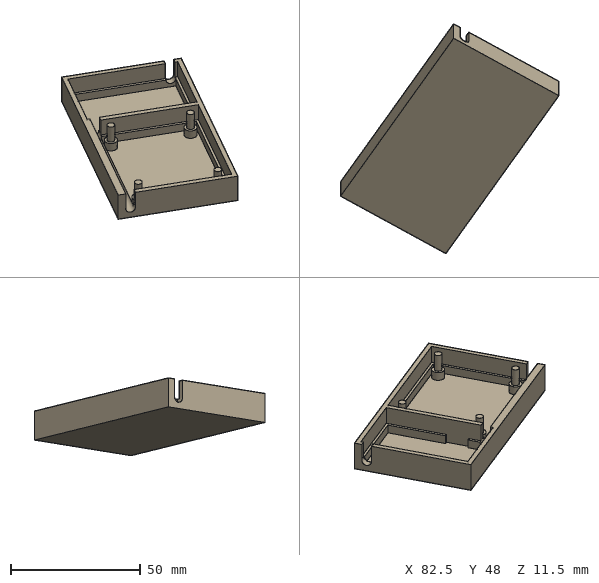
import cadquery as cq

length = 82.5
width = 48.0
height = 11.5
wall = 2.0
floor = 1.0

divider_start = 30.0
divider_end = divider_start + wall
ledge_width = 1.1
ledge_top = 4.45
inset = wall + ledge_width
ledge_gap_start = 12.0
ledge_gap_end = 21.1

channel_width = 3.9
channel_radius = channel_width / 2
channel_axis_z = ledge_top

bank_edge = 6.8

post_diameter = 5.0
pin_diameter = 3.0
post_top = ledge_top
pin_top = height
first_post_x = 36.2
first_post_y = 9.8
post_spacing_x = 39.9
post_spacing_y = 31.9


def block(x_range, y_range, z_range):
    """Box spanning the given (low, high) ranges."""
    spans = [high - low for low, high in (x_range, y_range, z_range)]
    corner = (x_range[0], y_range[0], z_range[0])
    return cq.Workplane("XY").box(*spans, centered=False).translate(corner)


def channel(x_start, x_end, y_center):
    """Cutter along X with a half-round bottom and straight sides up to the rim."""
    left = y_center - channel_radius
    right = y_center + channel_radius
    return (
        cq.Workplane("YZ", origin=(x_start, 0, 0))
        .moveTo(left, height)
        .lineTo(left, channel_axis_z)
        .threePointArc((y_center, channel_axis_z - channel_radius), (right, channel_axis_z))
        .lineTo(right, height)
        .close()
        .extrude(x_end - x_start)
    )


def stepped_post(x, y):
    """Wide post with a thin locating pin on top."""
    base = cq.Workplane("XY", origin=(x, y, floor))
    post = base.circle(post_diameter / 2).extrude(post_top - floor)
    pin = base.circle(pin_diameter / 2).extrude(pin_top - floor)
    return post.union(pin)


tray = block((0, length), (0, width), (0, height))

above_ledge = (ledge_top, height)
below_ledge = (floor, height)
tray = tray.cut(block((wall, divider_start), (wall, width - wall), above_ledge))
tray = tray.cut(block((inset, divider_start - ledge_width), (inset, width - inset), below_ledge))

tray = tray.cut(
    block((divider_start - ledge_width, divider_start), (ledge_gap_start, ledge_gap_end), below_ledge)
)

tray = tray.cut(block((divider_end, length - wall), (bank_edge, width - wall), above_ledge))
tray = tray.cut(
    block((divider_end + ledge_width, length - inset), (bank_edge, width - inset), below_ledge)
)

tray = tray.cut(channel(divider_start - ledge_width, length, inset + channel_radius))

tray = tray.cut(channel(0, inset, width - inset - channel_radius))

for column in range(2):
    for row in range(2):
        x = first_post_x + column * post_spacing_x
        y = first_post_y + row * post_spacing_y
        tray = tray.union(stepped_post(x, y))

result = tray